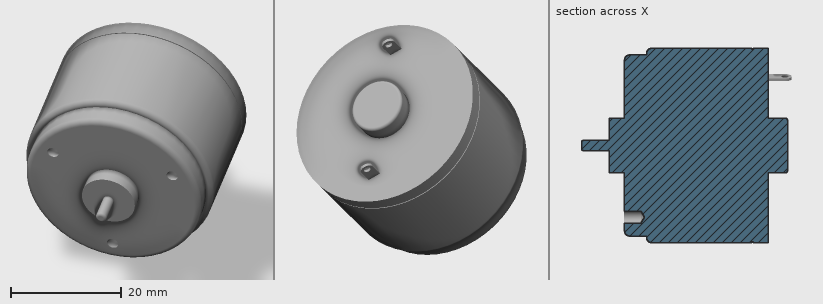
import cadquery as cq
import math

can_diameter = 35.4
can_front = 4.0
can_back = 26.2
can_edge_radius = 1.0

groove_diameter = 35.0
groove_front = 23.2
groove_width = 0.2

flange_diameter = 33.0
flange_edge_radius = 1.0

boss_diameter = 10.0
front_boss_length = 2.8
rear_boss_length = 3.5
rear_boss_edge_radius = 0.5

shaft_diameter = 2.0
shaft_length = 5.0
shaft_edge_radius = 0.5

mount_hole_diameter = 2.1
mount_hole_depth = 3.0
mount_hole_tip_angle = 118.0
mount_circle_radius = 13.0
mount_hole_count = 3

tab_width = 2.4
tab_thickness = 0.5
tab_length = 4.2
tab_hole_diameter = 1.3
tab_circle_radius = 12.5
tab_position_angle = 10.0
tab_tilt = 20.0


def disc(diameter, start, length):
    """Cylinder about the Y axis running from start toward +Y."""
    circle = cq.Workplane("XZ", origin=(0, start, 0)).circle(diameter / 2)
    return circle.extrude(-length)


def turn(shape, angle):
    """Turn a shape about the motor axis; positive angles carry the top toward -X."""
    return shape.rotate((0, 0, 0), (0, 1, 0), -angle)


def make_can():
    can = disc(can_diameter, can_front, can_back - can_front)
    can = can.faces("<Y").edges().fillet(can_edge_radius)
    groove = disc(can_diameter, groove_front, groove_width)
    groove = groove.cut(disc(groove_diameter, groove_front, groove_width))
    return can.cut(groove)


def make_flange():
    flange = disc(flange_diameter, 0, can_front)
    return flange.faces("<Y").edges().fillet(flange_edge_radius)


def make_front_boss():
    return disc(boss_diameter, -front_boss_length, front_boss_length)


def make_rear_boss():
    boss = disc(boss_diameter, can_back, rear_boss_length)
    return boss.faces(">Y").edges().fillet(rear_boss_edge_radius)


def make_shaft():
    shaft = disc(shaft_diameter, -front_boss_length - shaft_length, shaft_length)
    return shaft.faces("<Y").edges().fillet(shaft_edge_radius)


def make_mount_hole():
    """Blind drilled hole with a conical bottom, at the lowest point of the mounting circle."""
    radius = mount_hole_diameter / 2
    tip_length = radius / math.tan(math.radians(mount_hole_tip_angle / 2))
    profile = (
        cq.Workplane("XY")
        .lineTo(radius, 0)
        .lineTo(radius, mount_hole_depth)
        .lineTo(0, mount_hole_depth + tip_length)
        .close()
    )
    hole = profile.revolve(360, (0, 0, 0), (0, 1, 0))
    return hole.translate((0, 0, -mount_circle_radius))


def make_tab():
    """Round-ended solder tab with an eyelet, tilted about its own length so its -X edge is raised."""
    half_width = tab_width / 2
    eye_y = can_back + tab_length - half_width
    outline = (
        cq.Workplane("XY", origin=(0, 0, -tab_thickness / 2))
        .moveTo(-half_width, can_back)
        .lineTo(half_width, can_back)
        .lineTo(half_width, eye_y)
        .threePointArc((0, can_back + tab_length), (-half_width, eye_y))
        .close()
        .moveTo(0, eye_y)
        .circle(tab_hole_diameter / 2)
    )
    tab = turn(outline.extrude(tab_thickness), -tab_tilt)
    position = math.radians(tab_position_angle)
    offset_x = -tab_circle_radius * math.sin(position)
    offset_z = tab_circle_radius * math.cos(position)
    return tab.translate((offset_x, 0, offset_z))


result = make_can()
for section in (make_flange(), make_front_boss(), make_rear_boss(), make_shaft()):
    result = result.union(section)

for index in range(mount_hole_count):
    result = result.cut(turn(make_mount_hole(), index * 360 / mount_hole_count))

for angle in (0, 180):
    result = result.union(turn(make_tab(), angle))